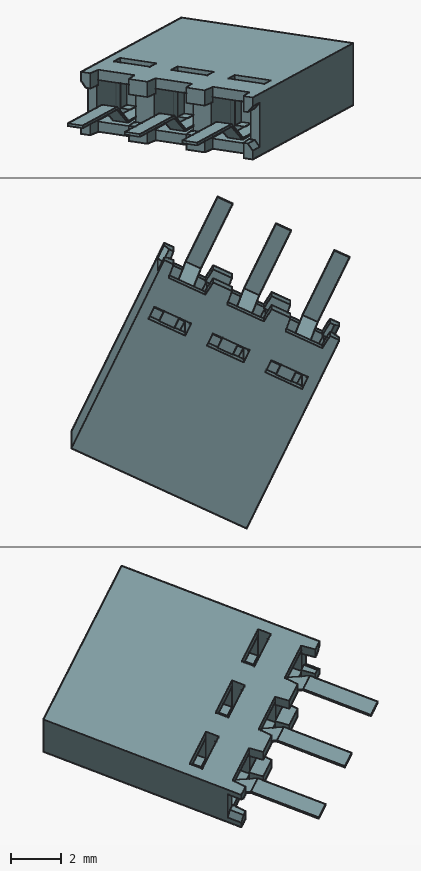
import cadquery as cq

circuits = 3
housing_width = 7.62
housing_height = 2.54
overall_length = 11.4
tail_length = 2.91
housing_length = overall_length - tail_length
pitch = housing_width / circuits
mid_height = housing_height / 2

notch_depth = 0.58
notch_root_width = 1.6
notch_tip_width = 1.72
tab_thickness = 0.63
end_tab_outer_thickness = 0.36
end_tab_bevel_width = 0.22

mouth_width = 1.73
mouth_height = 1.7
cavity_end_width = 1.52
cavity_end_height = 1.54
cavity_depth = 2.31

window_width = notch_root_width
window_length = 0.55
window_setback = 1.3

pin_width = 0.66
pin_thickness = 0.11
pin_rise = 0.82
bend_length = 0.98
pin_embed = 0.11

cavity_end = notch_depth + cavity_depth
circuit_centers = [(i - (circuits - 1) / 2) * pitch for i in range(circuits)]


def make_housing():
    return cq.Workplane("XY").box(
        housing_width, housing_length, housing_height, centered=(True, False, False)
    )


def make_tab_gap():
    """Opening across the full width that splits the tabs into upper and lower rows."""
    half_width = housing_width / 2
    bevel_start = half_width - end_tab_bevel_width
    inner_half = mid_height - tab_thickness
    outer_half = mid_height - end_tab_outer_thickness
    return (
        cq.Workplane("XZ", origin=(0, 0, mid_height))
        .polyline([
            (-half_width, outer_half),
            (-bevel_start, inner_half),
            (bevel_start, inner_half),
            (half_width, outer_half),
            (half_width, -outer_half),
            (bevel_start, -inner_half),
            (-bevel_start, -inner_half),
            (-half_width, -outer_half),
        ])
        .close()
        .extrude(-notch_depth)
    )


def make_notch(x):
    """Tapered notch, wider at the tab tips, through the full height."""
    return (
        cq.Workplane("XY")
        .polyline([
            (x - notch_tip_width / 2, 0),
            (x + notch_tip_width / 2, 0),
            (x + notch_root_width / 2, notch_depth),
            (x - notch_root_width / 2, notch_depth),
        ])
        .close()
        .extrude(housing_height)
    )


def make_cavity(x):
    """Drafted cavity running back from the notch root."""
    return (
        cq.Workplane("XZ", origin=(x, notch_depth, mid_height))
        .rect(mouth_width, mouth_height)
        .workplane(offset=-cavity_depth)
        .rect(cavity_end_width, cavity_end_height)
        .loft(ruled=True)
    )


def make_window(x):
    return (
        cq.Workplane("XY", origin=(x, notch_depth + window_setback, 0))
        .box(window_width, window_length, housing_height, centered=(True, False, False))
    )


def make_pin(x):
    """Flat strip with one offset bend, as a side profile extruded across its width."""
    tail_top = mid_height + pin_thickness / 2
    tail_bottom = tail_top - pin_thickness
    base_top = tail_top - pin_rise
    base_bottom = base_top - pin_thickness
    pin_end = cavity_end + pin_embed
    return (
        cq.Workplane("YZ", origin=(x, 0, 0))
        .polyline([
            (-tail_length, tail_bottom),
            (-tail_length, tail_top),
            (0, tail_top),
            (bend_length, base_top),
            (pin_end, base_top),
            (pin_end, base_bottom),
            (bend_length, base_bottom),
            (0, tail_bottom),
        ])
        .close()
        .extrude(pin_width / 2, both=True)
    )


result = make_housing().cut(make_tab_gap())
for center in circuit_centers:
    result = result.cut(make_notch(center)).cut(make_cavity(center)).cut(make_window(center))
for center in circuit_centers:
    result = result.union(make_pin(center))